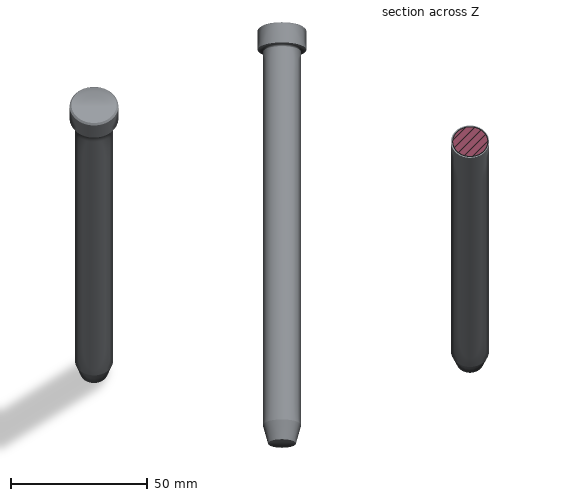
import cadquery as cq

total_length = 160.0
head_diameter = 18.0
head_height = 8.0
head_chamfer = 0.6
shaft_diameter = 14.0

neck_diameter = 13.1
neck_height = 0.8
neck_fillet_radius = 0.5

tip_diameter = 10.2
tip_length = 7.0

head_bottom = total_length - head_height
neck_bottom = head_bottom - neck_height

pin = (
    cq.Workplane("XZ")
    .moveTo(0, 0)
    .lineTo(tip_diameter / 2, 0)
    .lineTo(shaft_diameter / 2, tip_length)
    .lineTo(shaft_diameter / 2, neck_bottom)
    .lineTo(neck_diameter / 2, neck_bottom)
    .lineTo(neck_diameter / 2, head_bottom - neck_fillet_radius)
    .radiusArc((neck_diameter / 2 + neck_fillet_radius, head_bottom), neck_fillet_radius)
    .lineTo(head_diameter / 2, head_bottom)
    .lineTo(head_diameter / 2, total_length)
    .lineTo(0, total_length)
    .close()
    .revolve(360, (0, 0, 0), (0, 1, 0))
)

result = pin.faces(">Z").edges().chamfer(head_chamfer)